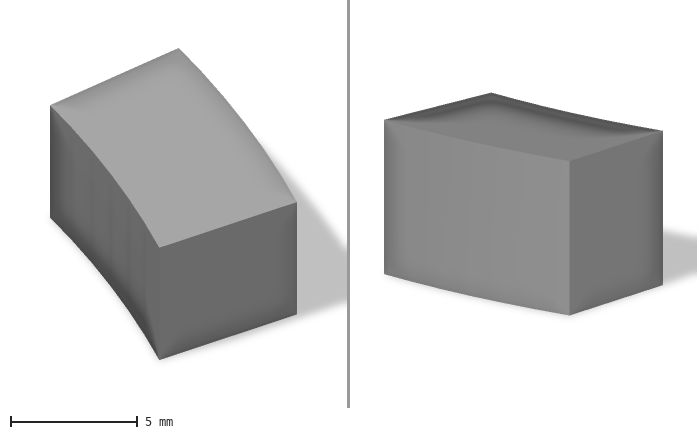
import cadquery as cq
import math

LENGTH_X = 9.74
HEIGHT = 6.3
END_FACE_WIDTH = 6.0
WEDGE_ANGLE = 7.0
OUTER_RADIUS = 40.5
INNER_RADIUS = 37.0

HALF_WEDGE = WEDGE_ANGLE / 2
half_wedge_rad = math.radians(HALF_WEDGE)
outer_half_chord = LENGTH_X / math.cos(half_wedge_rad) / 2
inner_half_chord = outer_half_chord - END_FACE_WIDTH * math.sin(half_wedge_rad)
chord_spacing = END_FACE_WIDTH * math.cos(half_wedge_rad)


def arc_rise(radius, half_chord):
    """Height of an arc's crown above its chord."""
    return radius - math.sqrt(radius**2 - half_chord**2)


def segment_profile():
    """Arc segment with its symmetry axis on Y and its outer chord on the X axis."""
    outer_crown = (0, arc_rise(OUTER_RADIUS, outer_half_chord))
    inner_crown = (0, arc_rise(INNER_RADIUS, inner_half_chord) - chord_spacing)
    return (
        cq.Workplane("XY")
        .moveTo(-outer_half_chord, 0)
        .threePointArc(outer_crown, (outer_half_chord, 0))
        .lineTo(inner_half_chord, -chord_spacing)
        .threePointArc(inner_crown, (-inner_half_chord, -chord_spacing))
        .close()
    )


result = segment_profile().extrude(HEIGHT).rotate((0, 0, 0), (0, 0, 1), HALF_WEDGE)